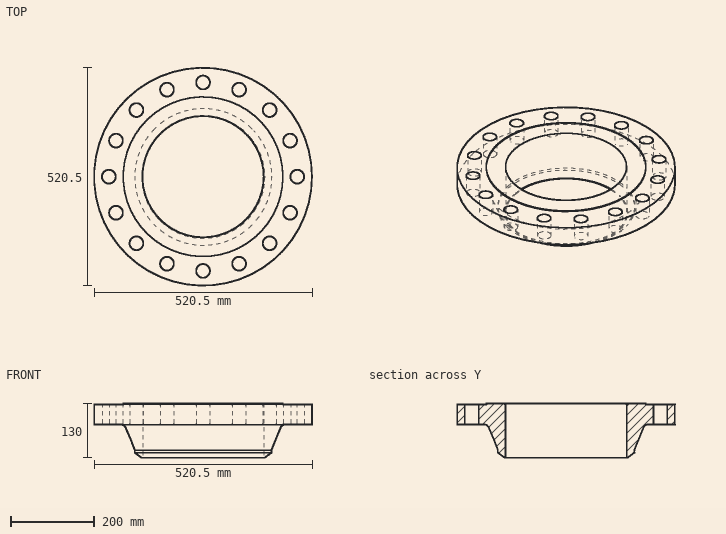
import cadquery as cq
import math

flange_diameter = 520.5
flange_radius = flange_diameter / 2
total_height = 130.0
raised_face_height = 2.0
raised_face_radius = 190.5
flange_thickness = 48.5
flange_top = total_height - raised_face_height
flange_bottom = flange_top - flange_thickness

bore_diameter = 289.0
hub_end_radius = 163.5
hub_base_radius = 188.5
blend_radius = 12.0
taper_end_z = 19.0
bevel_top_z = 12.5
bevel_tip_radius = 147.0

bolt_count = 16
bolt_circle_radius = 225.0
bolt_hole_diameter = 32.5

taper_angle = math.atan2(flange_bottom - taper_end_z, hub_base_radius - hub_end_radius)
blend_center_r = hub_base_radius + blend_radius * math.tan(taper_angle / 2)
blend_center_z = flange_bottom - blend_radius


def blend_point(angle):
    """Point on the blend arc, with the angle measured from its flange end."""
    return (
        blend_center_r - blend_radius * math.sin(angle),
        blend_center_z + blend_radius * math.cos(angle),
    )


body = (
    cq.Workplane("XZ")
    .moveTo(0, 0)
    .lineTo(bevel_tip_radius, 0)
    .lineTo(hub_end_radius, bevel_top_z)
    .lineTo(hub_end_radius, taper_end_z)
    .lineTo(*blend_point(taper_angle))
    .threePointArc(blend_point(taper_angle / 2), blend_point(0))
    .lineTo(flange_radius, flange_bottom)
    .lineTo(flange_radius, flange_top)
    .lineTo(raised_face_radius, flange_top)
    .lineTo(raised_face_radius, total_height)
    .lineTo(0, total_height)
    .close()
    .revolve(360, (0, 0, 0), (0, 1, 0))
)

bore = cq.Workplane("XY").circle(bore_diameter / 2).extrude(total_height)

bolt_holes = (
    cq.Workplane("XY")
    .polarArray(bolt_circle_radius, 0, 360, bolt_count)
    .circle(bolt_hole_diameter / 2)
    .extrude(total_height)
)

result = body.cut(bore).cut(bolt_holes)